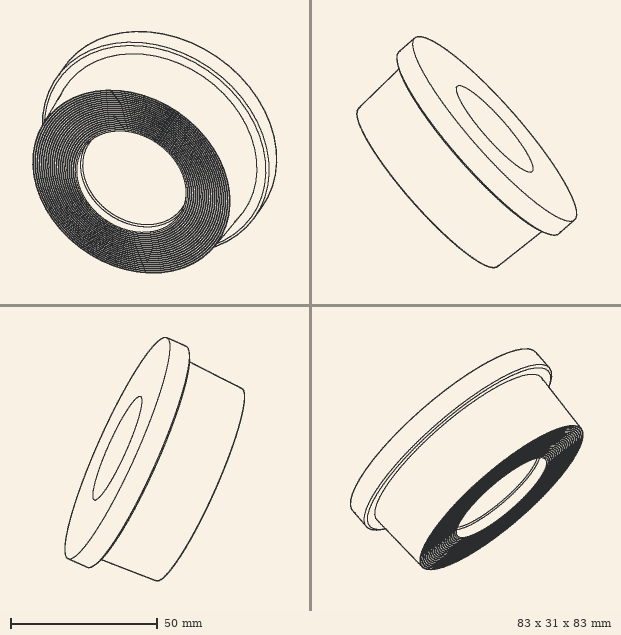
import cadquery as cq

flange_radius = 41.5
overall_length = 31.0
flange_thickness = 8.0
flange_chamfer_width = 1.0
flange_chamfer_length = 0.6
spigot_root_radius = 37.25
spigot_end_radius = 36.1
inlet_y = -overall_length / 2
flange_back_y = overall_length / 2
flange_front_y = flange_back_y - flange_thickness

bore_radius = 20.0
bore_depth = 3.7
seat_length = 0.5
opening_radius = 19.4
seat_y = inlet_y + bore_depth
disc_front_y = seat_y + seat_length

groove_pitch = 0.777
groove_width = 0.58
groove_count = 20
groove_depth = 0.12
groove_outer_radius = 35.9

disc_thickness = 3.0


def revolve_about_axis(profile):
    """Turn a closed (y, radius) outline about the Y axis."""
    return profile.close().revolve(360, (0, 0, 0), (1, 0, 0))


def build_housing():
    """Flanged, tapered housing with a grooved inlet face and a stepped through bore."""
    profile = (
        cq.Workplane("YZ")
        .moveTo(flange_back_y, opening_radius)
        .lineTo(flange_back_y, flange_radius)
        .lineTo(flange_front_y + flange_chamfer_length, flange_radius)
        .lineTo(flange_front_y, flange_radius - flange_chamfer_width)
        .lineTo(flange_front_y, spigot_root_radius)
        .lineTo(inlet_y, spigot_end_radius)
    )
    for index in range(groove_count):
        groove_edge = groove_outer_radius - index * groove_pitch
        profile = (
            profile.lineTo(inlet_y, groove_edge)
            .threePointArc(
                (inlet_y + groove_depth, groove_edge - groove_width / 2),
                (inlet_y, groove_edge - groove_width),
            )
        )
    profile = (
        profile.lineTo(inlet_y, bore_radius)
        .lineTo(seat_y, bore_radius)
        .lineTo(disc_front_y, opening_radius)
    )
    return revolve_about_axis(profile)


def build_disc():
    """Plain round plate that closes the opening."""
    profile = (
        cq.Workplane("YZ")
        .moveTo(disc_front_y, 0)
        .lineTo(disc_front_y, opening_radius)
        .lineTo(disc_front_y + disc_thickness, opening_radius)
        .lineTo(disc_front_y + disc_thickness, 0)
    )
    return revolve_about_axis(profile)


housing = build_housing()
disc = build_disc()

result = cq.Compound.makeCompound([housing.val(), disc.val()])